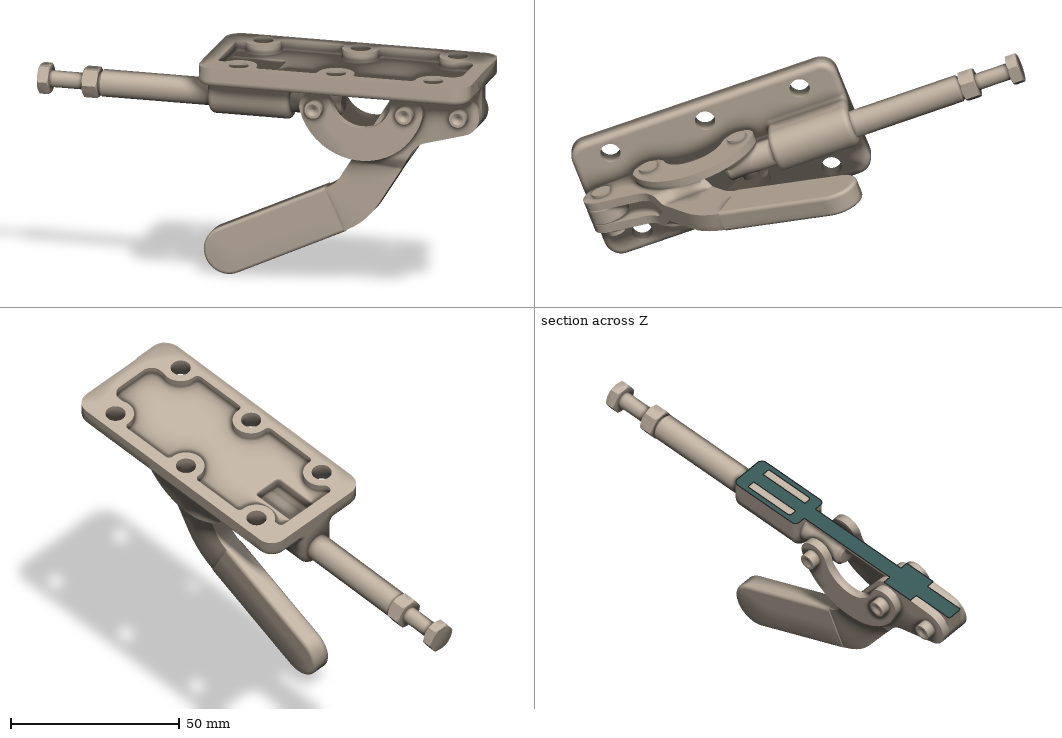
import cadquery as cq
import math


overall_length = 137.01
selection_margin = 0.1

plate_length = 83.8
plate_width = 38.0
plate_thickness = 5.8
plate_corner_radius = 5.0
lower_edge_radius = 1.8
hole_diameter = 6.0
hole_pitch = 30.0
holes_per_row = 3
first_hole_x = 12.0
hole_row_y = 13.5
hole_xs = [first_hole_x + i * hole_pitch for i in range(holes_per_row)]

pocket_depth = 3.0
pocket_front_x = 4.5
pocket_rear_x = 79.0
pocket_half_width = 15.2
pocket_front_half_width = 10.7
pocket_rear_half_width = 8.4
hole_boss_radius = 5.5
pocket_corner_radius = 1.4
pocket_rear_radius = 3.5
pocket_floor_radius = 0.7

recess_rear_x = 21.4
recess_half_width = 4.6
recess_floor_z = -6.9
recess_corner_radius = 1.0
recess_floor_radius = 0.5
recess_rim_radius = 0.6
hump_half_width = 2.7

pad_projection = 0.25
pad_height = 3.8
pad_start_y = -17.5
pad_end_y = -7.1

axis_z = -13.0
guide_length = 25.2
guide_radius = 6.2
guide_end_radius = 1.5
guide_root_radius = 1.2
rib_half_thickness = 2.5
rib_bottom_z = -8.0
rib_edge_radius = 0.5
rib_root_radius = 0.5

plunger_radius = 4.1
nut_rear_x = -34.5
plunger_rear_x = 40.6
plunger_chamfer = 1.0
hex_across_flats = 8.4
nut_length = 4.7
bolt_tip_x = plate_length + pad_projection - overall_length
bolt_head_length = 3.4
bolt_radius = 2.5
hex_edge_drop = 0.4

plunger_pivot = (34.0, axis_z)
link_pivot = (62.0, -12.6)
lever_pivot = (77.9, axis_z)
pin_radius = 2.55
pin_dimple_radius = 1.8
pin_dimple_depth = 1.2
pin_projection = 3.0
pin_head_radius = 2.9
pin_head_length = 0.9

link_inner_y = 5.1
link_thickness = 2.6
link_end_radius = 5.0
link_arc_rise = 4.0

ear_inner_y = 2.5
ear_outer_y = link_inner_y
blade_half_thickness = 2.75
link_ear_radius = 6.4
lever_ear_radius = 5.9
lever_width = 14.0
neck_angle = 58.0
handle_angle = 25.0
ear_underside_angle = 15.5
elbow_inner_radius = 8.6
elbow_outer_radius = elbow_inner_radius + lever_width
crotch_radius = 6.5
fork_tilt = 4.8
fork_reference = (52.5, -28.3)
fork_outer_start = 1.2
fork_outer_end = -2.3
fork_inner_start = 3.5
fork_inner_end = -0.5
fork_wide_bend_radius = 4.0
fork_tight_bend_radius = 1.5

grip_tip = (5.4, -61.1)
grip_radius = 7.35
grip_length = 36.6
grip_thickness = 6.4
grip_edge_radius = 1.1


def box(x0, x1, y0, y1, z0, z1):
    """Box between the given limits."""
    return cq.Workplane("XY").box(x1 - x0, y1 - y0, z1 - z0, centered=False).translate((x0, y0, z0))


def within(x0, x1, y0, y1, z0, z1):
    """Selector for the edges centred inside the given limits, widened by a small margin."""
    m = selection_margin
    return cq.selectors.BoxSelector((x0 - m, y0 - m, z0 - m), (x1 + m, y1 + m, z1 + m))


def y_cylinder(center, radius, y0, y1):
    """Cylinder along Y about an (X, Z) point."""
    return (
        cq.Workplane("XZ", origin=(0, y0, 0))
        .center(*center)
        .circle(radius)
        .extrude(y0 - y1)
    )


def x_cylinder(radius, x0, x1):
    """Cylinder along X on the plunger axis."""
    return cq.Workplane("YZ", origin=(x0, 0, axis_z)).circle(radius).extrude(x1 - x0)


def heading(angle):
    """Unit vector in the XZ plane at an angle from +X."""
    return (math.cos(math.radians(angle)), math.sin(math.radians(angle)))


def along(point, angle, distance):
    """Point at a distance from another point in a given heading."""
    dx, dz = heading(angle)
    return (point[0] + distance * dx, point[1] + distance * dz)


def crossing(p, p_angle, q, q_angle):
    """Crossing of two lines, each given by a point and a heading."""
    px, pz = heading(p_angle)
    qx, qz = heading(q_angle)
    reach = ((q[0] - p[0]) * qz - (q[1] - p[1]) * qx) / (px * qz - pz * qx)
    return along(p, p_angle, reach)


def make_pocket():
    """Pocket volume with a narrower stretch at each end, leaving a round boss at every hole."""
    main = box(hole_xs[0], hole_xs[-1], -pocket_half_width, pocket_half_width, -pocket_depth, 0)
    front = box(
        pocket_front_x, hole_xs[0], -pocket_front_half_width, pocket_front_half_width, -pocket_depth, 0
    )
    rear = box(hole_xs[-1], pocket_rear_x, -pocket_rear_half_width, pocket_rear_half_width, -pocket_depth, 0)
    bosses = hole_pattern(hole_boss_radius, pocket_depth)
    pocket = main.union(front).union(rear).cut(bosses)
    pocket = pocket.edges("|Z and >X").fillet(pocket_rear_radius)
    bend_end_x = pocket_rear_x - pocket_rear_radius
    other_corners = within(
        pocket_front_x,
        bend_end_x - 2 * selection_margin,
        -pocket_half_width,
        pocket_half_width,
        -pocket_depth,
        0,
    )
    pocket = pocket.edges("|Z").edges(other_corners).fillet(pocket_corner_radius)
    return pocket.faces("<Z").edges().fillet(pocket_floor_radius)


def hole_pattern(radius, depth):
    """Vertical cylinders at the six mounting holes, going down from the top of the plate."""
    points = [(x, side * hole_row_y) for x in hole_xs for side in (-1, 1)]
    return cq.Workplane("XY").pushPoints(points).circle(radius).extrude(-depth)


def make_base_blank():
    """Plate with the plunger guide below it, the outer edges rounded in one run."""
    plate = box(0, plate_length, -plate_width / 2, plate_width / 2, -plate_thickness, 0)
    plate = plate.edges("|Z").fillet(plate_corner_radius)
    guide_barrel = x_cylinder(guide_radius, 0, guide_length)
    guide_neck = box(0, guide_length, -guide_radius, guide_radius, axis_z, -plate_thickness)
    guide = guide_barrel.union(guide_neck)
    guide = guide.faces(">X").edges("not(>Z)").fillet(guide_end_radius)
    blank = plate.union(guide)
    root = within(0, guide_length, -guide_radius, guide_radius, -plate_thickness, -plate_thickness)
    blank = blank.edges("|X").edges(root).fillet(guide_root_radius)
    return blank.faces("<X").edges("not(>Z)").fillet(lower_edge_radius)


def make_pad():
    """Thin pad that repeats the plate outline slightly further back."""
    outline = box(0, plate_length, -plate_width / 2, plate_width / 2, -pad_height, 0)
    outline = outline.edges("|Z").fillet(plate_corner_radius).translate((pad_projection, 0, 0))
    rear_start = plate_length - plate_corner_radius
    limits = box(rear_start, plate_length + pad_projection, pad_start_y, pad_end_y, -pad_height, 0)
    return outline.intersect(limits)


def make_rib():
    """Rib along the plate underside, with flared roots and rounded lower edges."""
    half = rib_half_thickness
    flare = half + rib_root_radius
    bend = rib_root_radius * (1 - math.sin(math.radians(45)))
    root_z = -plate_thickness - rib_root_radius
    inside_plate_z = -plate_thickness + rib_root_radius
    start_x = guide_length - guide_end_radius
    end_x = plate_length - lower_edge_radius
    rib = (
        cq.Workplane("YZ", origin=(start_x, 0, 0))
        .moveTo(-half, rib_bottom_z)
        .lineTo(half, rib_bottom_z)
        .lineTo(half, root_z)
        .threePointArc((half + bend, -plate_thickness - bend), (flare, -plate_thickness))
        .lineTo(flare, inside_plate_z)
        .lineTo(-flare, inside_plate_z)
        .lineTo(-flare, -plate_thickness)
        .threePointArc((-half - bend, -plate_thickness - bend), (-half, root_z))
        .close()
        .extrude(end_x - start_x)
    )
    return rib.edges("|X and <Z").fillet(rib_edge_radius)


def make_lug():
    """Rounded lug at the rear end of the rib, which carries the lever."""
    half = rib_half_thickness
    eye = y_cylinder(lever_pivot, lever_ear_radius, -half, half)
    front_x = lever_pivot[0] - lever_ear_radius
    rear_x = lever_pivot[0] + lever_ear_radius
    shank = box(front_x, rear_x, -half, half, axis_z, -pocket_depth - rib_edge_radius)
    return shank.union(eye).faces("<Y or >Y").edges("not(>Z)").fillet(rib_edge_radius)


def make_recess():
    """Volume cut from the pocket floor, leaving a hump that follows the plunger guide."""
    recess = box(
        pocket_front_x, recess_rear_x, -recess_half_width, recess_half_width, recess_floor_z, -pocket_depth
    )
    recess = recess.edges("|Z and >X").fillet(recess_corner_radius)
    recess = recess.faces("<Z").edges("not(<X)").fillet(recess_floor_radius)
    margin = 2 * recess_rim_radius
    surround = box(
        pocket_front_x,
        recess_rear_x + margin,
        -recess_half_width - margin,
        recess_half_width + margin,
        recess_floor_z,
        -pocket_depth,
    )
    rim = within(
        pocket_front_x + selection_margin,
        recess_rear_x,
        -recess_half_width,
        recess_half_width,
        -pocket_depth,
        -pocket_depth,
    )
    rounded_surround = surround.cut(recess).edges(rim).fillet(recess_rim_radius)
    recess = surround.cut(rounded_surround)
    hump_radius = math.hypot(hump_half_width, recess_floor_z - axis_z)
    return recess.cut(x_cylinder(hump_radius, pocket_front_x, recess_rear_x))


def make_base():
    """Plate with everything cast in one with it, pocketed and drilled."""
    base = make_base_blank().union(make_rib()).union(make_lug()).union(make_pad())
    base = base.cut(make_pocket()).cut(make_recess())
    return base.cut(hole_pattern(hole_diameter / 2, plate_thickness))


def make_hex(x0, length):
    """Hexagon along X with corners at +Y and -Y, both ends turned to a cone."""
    across_corners = hex_across_flats / math.cos(math.radians(30))
    hexagon = cq.Workplane("YZ", origin=(x0, 0, axis_z)).polygon(6, across_corners).extrude(length)
    turned = x_cylinder(across_corners / 2, x0, x0 + length)
    cone_depth = (across_corners - hex_across_flats) / 2
    for end in ("<X", ">X"):
        turned = turned.faces(end).chamfer(hex_edge_drop, cone_depth)
    return hexagon.intersect(turned)


def make_plunger():
    """Plunger rod with the lock nut and bolt at its front end."""
    rod = x_cylinder(plunger_radius, nut_rear_x, plunger_rear_x)
    rod = rod.faces("<X or >X").chamfer(plunger_chamfer)
    nut = make_hex(nut_rear_x - nut_length, nut_length)
    shank = x_cylinder(bolt_radius, bolt_tip_x, nut_rear_x)
    head = make_hex(bolt_tip_x, bolt_head_length)
    return rod.union(nut).union(shank).union(head)


def make_pin(pivot, outer_y):
    """Pin with a flat head at +Y and a conical dimple in the end at -Y."""
    tip_y = -outer_y - pin_projection
    pin = y_cylinder(pivot, pin_radius, tip_y, outer_y)
    head = y_cylinder(pivot, pin_head_radius, outer_y, outer_y + pin_head_length)
    dimple = cq.Solid.makeCone(
        pin_dimple_radius, 0, pin_dimple_depth, cq.Vector(pivot[0], tip_y, pivot[1]), cq.Vector(0, 1, 0)
    )
    return pin.union(head).cut(cq.Workplane(dimple))


def make_link(side):
    """C-shaped link on one side (-1 or 1), hanging below its two pivots."""
    chord_x = link_pivot[0] - plunger_pivot[0]
    chord_z = link_pivot[1] - plunger_pivot[1]
    chord_angle = math.degrees(math.atan2(chord_z, chord_x))
    half_chord = math.hypot(chord_x, chord_z) / 2
    chord_middle = along(plunger_pivot, chord_angle, half_chord)
    center = along(chord_middle, chord_angle + 90, link_arc_rise)
    arc_radius = math.hypot(half_chord, link_arc_rise)
    outer = arc_radius + link_end_radius
    inner = arc_radius - link_end_radius
    dip = math.degrees(math.atan2(link_arc_rise, half_chord))
    front_angle = chord_angle + 180 + dip
    rear_angle = chord_angle - dip
    bottom_angle = chord_angle - 90
    start_y = side * (link_inner_y + link_thickness / 2) - link_thickness / 2
    return (
        cq.Workplane("XZ", origin=(0, start_y, 0))
        .moveTo(*along(center, front_angle, outer))
        .threePointArc(along(center, bottom_angle, outer), along(center, rear_angle, outer))
        .threePointArc(
            along(link_pivot, rear_angle + 90, link_end_radius),
            along(center, rear_angle, inner),
        )
        .threePointArc(along(center, bottom_angle, inner), along(center, front_angle, inner))
        .threePointArc(
            along(plunger_pivot, front_angle - 90, link_end_radius),
            along(center, front_angle, outer),
        )
        .close()
        .extrude(-link_thickness)
    )


def make_lever_outline():
    """Side shape of the lever: two ears, a sloping neck, an elbow and the core of the grip."""
    neck_side = neck_angle + 90
    handle_side = handle_angle + 90
    neck_upper = along(link_pivot, neck_side, link_ear_radius)
    neck_lower = along(neck_upper, neck_side, -lever_width)
    handle_upper = along(grip_tip, handle_side, lever_width / 2)
    handle_lower = along(grip_tip, handle_side, -lever_width / 2)
    ear_underside = along(lever_pivot, ear_underside_angle - 90, lever_ear_radius)
    ear_x = lever_pivot[0] - link_pivot[0]
    ear_z = lever_pivot[1] - link_pivot[1]
    ear_slope = math.atan2(ear_z, ear_x)
    ear_gap = math.hypot(ear_x, ear_z)
    ear_top_angle = 90 + math.degrees(ear_slope - math.asin((link_ear_radius - lever_ear_radius) / ear_gap))
    inner_elbow = crossing(neck_upper, neck_angle, handle_upper, handle_angle)
    outer_elbow = crossing(neck_lower, neck_angle, handle_lower, handle_angle)
    crotch = crossing(neck_lower, neck_angle, ear_underside, ear_underside_angle)
    points = [
        along(link_pivot, ear_top_angle, link_ear_radius),
        neck_upper,
        inner_elbow,
        handle_upper,
        handle_lower,
        outer_elbow,
        crotch,
        ear_underside,
        lever_pivot,
        along(lever_pivot, ear_top_angle, lever_ear_radius),
    ]
    body = (
        cq.Workplane("XZ", origin=(0, -ear_outer_y, 0))
        .polyline(points)
        .close()
        .extrude(-2 * ear_outer_y)
    )
    bends = (
        (inner_elbow, elbow_inner_radius),
        (outer_elbow, elbow_outer_radius),
        (crotch, crotch_radius),
    )
    for corner, radius in bends:
        middle = (corner[0], 0, corner[1])
        body = body.edges("|Y").edges(cq.selectors.NearestToPointSelector(middle)).fillet(radius)
    for pivot, radius in ((link_pivot, link_ear_radius), (lever_pivot, lever_ear_radius)):
        body = body.union(y_cylinder(pivot, radius, -ear_outer_y, ear_outer_y))
    return body


def make_fork_section():
    """End shape of the lever, swept along X: a solid blade that splits into two parallel ears."""
    reach = overall_length
    right_side = [
        (blade_half_thickness, -reach),
        (blade_half_thickness, fork_outer_end),
        (ear_outer_y, fork_outer_start),
        (ear_outer_y, reach),
        (ear_inner_y, reach),
        (ear_inner_y, fork_inner_start),
    ]
    left_side = [(-y, z) for y, z in reversed(right_side)]
    section = (
        cq.Workplane("YZ", origin=(-reach, 0, 0))
        .polyline(right_side + [(0, fork_inner_end)] + left_side)
        .close()
        .extrude(2 * reach)
    )
    bends = (
        (ear_outer_y, fork_outer_start, fork_wide_bend_radius),
        (ear_inner_y, fork_inner_start, fork_tight_bend_radius),
        (blade_half_thickness, fork_outer_end, fork_tight_bend_radius),
    )
    for y, z, radius in bends:
        for side in (-1, 1):
            bend = cq.selectors.NearestToPointSelector((0, side * y, z))
            section = section.edges("|X").edges(bend).fillet(radius)
    section = section.rotate((0, 0, 0), (0, 1, 0), fork_tilt)
    return section.translate((fork_reference[0], 0, fork_reference[1]))


def make_lever():
    """Lever trimmed to its forked section."""
    return make_lever_outline().intersect(make_fork_section())


def make_grip():
    """Round-ended sleeve around the lower end of the lever."""
    half = grip_thickness / 2
    side_angle = handle_angle + 90
    mouth = along(grip_tip, handle_angle, grip_length)
    outline = (
        cq.Workplane("XZ", origin=(0, -half, 0))
        .moveTo(*along(mouth, side_angle, grip_radius))
        .lineTo(*along(grip_tip, side_angle, grip_radius))
        .threePointArc(
            along(grip_tip, handle_angle, -grip_radius),
            along(grip_tip, side_angle, -grip_radius),
        )
        .lineTo(*along(mouth, side_angle, -grip_radius))
        .close()
    )
    grip = outline.extrude(-grip_thickness)
    mouth_edges = within(mouth[0], mouth[0], -half, half, mouth[1], mouth[1])
    return grip.faces("|Y").edges(-mouth_edges).fillet(grip_edge_radius)


link_outer_y = link_inner_y + link_thickness
pins = (
    (plunger_pivot, link_outer_y),
    (link_pivot, link_outer_y),
    (lever_pivot, ear_outer_y),
)

result = make_base().union(make_plunger()).union(make_lever()).union(make_grip())
for link_side in (-1, 1):
    result = result.union(make_link(link_side))
for pin_pivot, pin_outer_y in pins:
    result = result.union(make_pin(pin_pivot, pin_outer_y))